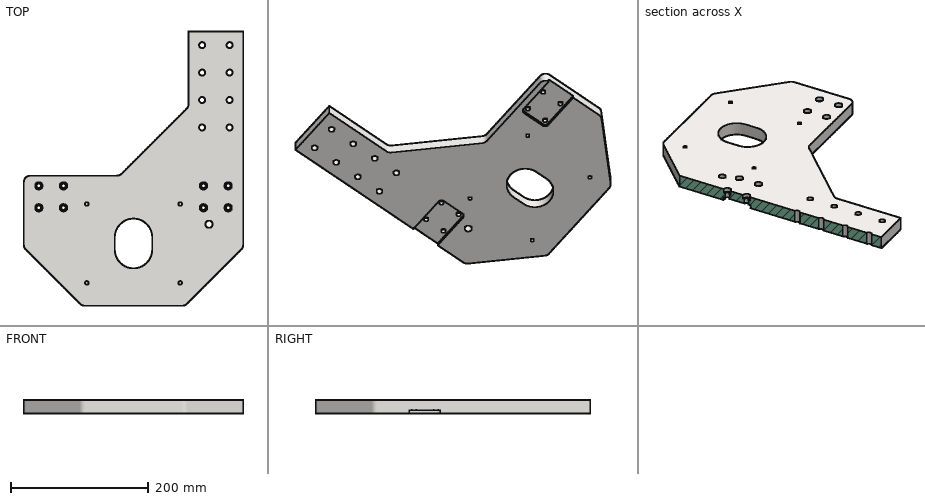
import cadquery as cq

PLATE_WIDTH = 320.0
PLATE_HEIGHT = 400.0
PLATE_THICKNESS = 20.0
HALF_WIDTH = PLATE_WIDTH / 2

BODY_HEIGHT = 190.0
ARM_WIDTH = 80.0
BOTTOM_CHAMFER = 85.0
GUSSET_LEG = 100.0
CORNER_RADIUS = 10.0

WINDOW_WIDTH = 54.2
WINDOW_STRAIGHT_LENGTH = 18.0
WINDOW_LENGTH = WINDOW_WIDTH + WINDOW_STRAIGHT_LENGTH
WINDOW_Y = 91.0

SMALL_HOLE_DIAMETER = 5.0
SMALL_HOLE_SPACING_X = 136.0
SMALL_HOLE_SPACING_Y = 115.0

ARM_HOLE_DIAMETER = 8.5
ARM_HOLE_COLUMNS = 2
ARM_HOLE_ROWS = 4
ARM_HOLE_PITCH = 40.0
ARM_HOLE_EDGE = 20.0

SINGLE_HOLE_DIAMETER = 10.2
SINGLE_HOLE_X = 110.0
SINGLE_HOLE_Y = 119.0

SEAT_X = 120.0
SEAT_Y = 159.0
SEAT_HOLE_SPACING_X = 36.0
SEAT_HOLE_SPACING_Y = 32.0
SCREW_DIAMETER = 6.5
COUNTERBORE_DIAMETER = 11.0
COUNTERBORE_DEPTH = 6.5
POCKET_HEIGHT = 45.0
POCKET_INNER_OFFSET = 25.0
POCKET_DEPTH = 5.0
POCKET_CORNER_RADIUS = 5.0


def make_plate():
    """Plate with an upright arm on the right, a 45 degree gusset and chamfered lower corners."""
    arm_left = HALF_WIDTH - ARM_WIDTH
    bottom_half_width = HALF_WIDTH - BOTTOM_CHAMFER
    gusset_foot = (arm_left - GUSSET_LEG, BODY_HEIGHT)
    gusset_top = (arm_left, BODY_HEIGHT + GUSSET_LEG)
    body_top_left = (-HALF_WIDTH, BODY_HEIGHT)
    lower_corners = [
        (-HALF_WIDTH, BOTTOM_CHAMFER),
        (-bottom_half_width, 0),
        (bottom_half_width, 0),
        (HALF_WIDTH, BOTTOM_CHAMFER),
    ]
    arm_corners = [(HALF_WIDTH, PLATE_HEIGHT), (arm_left, PLATE_HEIGHT)]
    outline = lower_corners + arm_corners + [gusset_top, gusset_foot, body_top_left]
    plate = cq.Workplane("XY").polyline(outline).close().extrude(PLATE_THICKNESS)

    for x, y in lower_corners + [gusset_top, gusset_foot, body_top_left]:
        edge = cq.selectors.NearestToPointSelector((x, y, PLATE_THICKNESS / 2))
        plate = plate.edges("|Z").edges(edge).fillet(CORNER_RADIUS)
    return plate


def make_pins(centres, diameter):
    """Cylinders through the full plate thickness, used to cut holes."""
    return cq.Workplane("XY").pushPoints(centres).circle(diameter / 2).extrude(PLATE_THICKNESS)


def rectangle_corners(centre_x, centre_y, spacing_x, spacing_y):
    """Corner points of a rectangular hole pattern."""
    return [
        (centre_x + side_x * spacing_x / 2, centre_y + side_y * spacing_y / 2)
        for side_x in (-1, 1)
        for side_y in (-1, 1)
    ]


def arm_hole_centres():
    """Grid of holes counted from the outer top corner of the arm."""
    return [
        (
            HALF_WIDTH - ARM_HOLE_EDGE - column * ARM_HOLE_PITCH,
            PLATE_HEIGHT - ARM_HOLE_EDGE - row * ARM_HOLE_PITCH,
        )
        for column in range(ARM_HOLE_COLUMNS)
        for row in range(ARM_HOLE_ROWS)
    ]


def make_window():
    """Upright rounded-end opening through the plate."""
    return (
        cq.Workplane("XY")
        .center(0, WINDOW_Y)
        .slot2D(WINDOW_LENGTH, WINDOW_WIDTH, 90)
        .extrude(PLATE_THICKNESS)
    )


def make_seat_cut(side):
    """Cutting body of one bearing seat; side is -1 for the left edge and 1 for the right edge."""
    centre_x = side * SEAT_X
    holes = rectangle_corners(centre_x, SEAT_Y, SEAT_HOLE_SPACING_X, SEAT_HOLE_SPACING_Y)
    counterbores = (
        cq.Workplane("XY")
        .workplane(offset=PLATE_THICKNESS - COUNTERBORE_DEPTH)
        .pushPoints(holes)
        .circle(COUNTERBORE_DIAMETER / 2)
        .extrude(COUNTERBORE_DEPTH)
    )
    pocket_length = HALF_WIDTH - SEAT_X + POCKET_INNER_OFFSET
    pocket = (
        cq.Workplane("XY")
        .center(side * (HALF_WIDTH - pocket_length / 2), SEAT_Y)
        .rect(pocket_length, POCKET_HEIGHT)
        .extrude(POCKET_DEPTH)
        .edges("|Z")
        .edges("<X" if side > 0 else ">X")
        .fillet(POCKET_CORNER_RADIUS)
    )
    return make_pins(holes, SCREW_DIAMETER).union(counterbores).union(pocket)


small_holes = rectangle_corners(0, WINDOW_Y, SMALL_HOLE_SPACING_X, SMALL_HOLE_SPACING_Y)

result = make_plate()
result = result.cut(make_window())
result = result.cut(make_pins(small_holes, SMALL_HOLE_DIAMETER))
result = result.cut(make_pins(arm_hole_centres(), ARM_HOLE_DIAMETER))
result = result.cut(make_pins([(SINGLE_HOLE_X, SINGLE_HOLE_Y)], SINGLE_HOLE_DIAMETER))
for seat_side in (-1, 1):
    result = result.cut(make_seat_cut(seat_side))